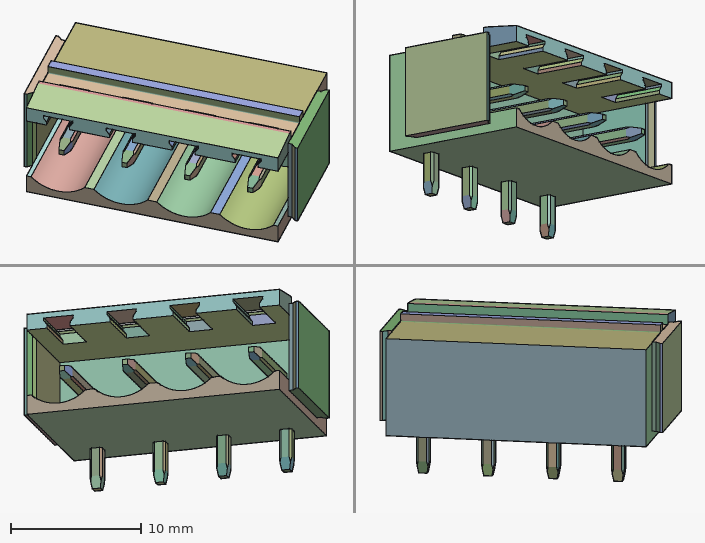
import cadquery as cq
import math

pin_count = 4
pitch = 5.08
housing_width = pin_count * pitch
housing_depth = 12.0
housing_height = 7.65

pin_width = 1.0
pin_round_diameter = 1.2
pin_axis_z = 3.75
blade_tip_y = 0.88
blade_taper_length = 1.21
blade_tip_width = 0.42
leg_axis_y = 9.91
leg_end_z = -3.22
leg_taper_length = 0.95
leg_tip_width = 0.65

cavity_depth = 8.4
cavity_floor_z = 1.52
cavity_roof_z = 6.8
trough_bottom_z = 0.66
trough_radius = 3.15
trough_axis_z = trough_bottom_z + trough_radius

lip_back_y = 3.11
lip_flat_length = 0.33
lip_top_z = 8.41
lip_front_z = 8.08

slot_depth = 4.15
slot_top_width = 2.36
slot_bottom_width = 1.85
slot_upper_z = 7.45
slot_lower_z = 7.09

rib_front_y = 5.25
rib_width = 0.8
rib_top_z = 8.25
rib_foot_radius = 0.07

overall_width = 22.08
plate_overhang = (overall_width - housing_width) / 2
plate_rim = 0.22
plate_chamfer = 0.35
plate_front_y = 2.12
plate_length = 7.75
plate_bottom_z = 0.68
plate_top_z = 7.7

pin_positions = [(i - (pin_count - 1) / 2) * pitch for i in range(pin_count)]


def extrude_along_x(outline, width):
    """Extrude a closed list of (y, z) points, centred on X = 0."""
    return cq.Workplane("YZ").polyline(outline).close().extrude(width / 2, both=True)


def block(width, y_min, y_max, z_min, z_max):
    """Box centred on X = 0 between the given Y and Z limits."""
    size = (width, y_max - y_min, z_max - z_min)
    return cq.Workplane("XY").box(*size, centered=(True, False, False)).translate((0, y_min, z_min))


def front_lip():
    return extrude_along_x(
        [
            (0, cavity_roof_z),
            (0, lip_front_z),
            (lip_back_y - lip_flat_length, lip_top_z),
            (lip_back_y, lip_top_z),
            (lip_back_y, cavity_roof_z),
        ],
        housing_width,
    )


def roof_rib():
    """Rib whose foot flares out through a concave arc on each side."""
    back_y = rib_front_y + rib_width
    foot_z = housing_height
    arc_top_z = foot_z + rib_foot_radius
    return (
        cq.Workplane("YZ")
        .moveTo(rib_front_y - rib_foot_radius, foot_z)
        .radiusArc((rib_front_y, arc_top_z), -rib_foot_radius)
        .lineTo(rib_front_y, rib_top_z)
        .lineTo(back_y, rib_top_z)
        .lineTo(back_y, arc_top_z)
        .radiusArc((back_y + rib_foot_radius, foot_z), -rib_foot_radius)
        .lineTo(back_y + rib_foot_radius, foot_z - rib_foot_radius)
        .lineTo(rib_front_y - rib_foot_radius, foot_z - rib_foot_radius)
        .close()
        .extrude(housing_width / 2, both=True)
    )


def trough(x):
    """Round trough in the cavity floor."""
    cylinder = cq.Workplane("XZ").center(x, trough_axis_z).circle(trough_radius).extrude(-cavity_depth)
    return cylinder.intersect(block(housing_width, 0, cavity_depth, 0, trough_axis_z))


def coding_slot(x):
    top = slot_top_width / 2
    bottom = slot_bottom_width / 2
    outline = [
        (-bottom, cavity_roof_z),
        (-bottom, slot_lower_z),
        (-top, slot_upper_z),
        (-top, housing_height),
        (top, housing_height),
        (top, slot_upper_z),
        (bottom, slot_lower_z),
        (bottom, cavity_roof_z),
    ]
    return cq.Workplane("XZ").polyline(outline).close().extrude(-slot_depth).translate((x, 0, 0))


def end_plate():
    """Dovetail plate on the +X end: a narrow neck that widens to the outer face."""
    inner_x = housing_width / 2
    outer_x = inner_x + plate_overhang
    rim_x = outer_x - plate_rim
    neck_x = rim_x - plate_chamfer
    back_y = plate_front_y + plate_length
    outline = [
        (inner_x, plate_front_y + plate_chamfer),
        (neck_x, plate_front_y + plate_chamfer),
        (rim_x, plate_front_y),
        (outer_x, plate_front_y),
        (outer_x, back_y),
        (rim_x, back_y),
        (neck_x, back_y - plate_chamfer),
        (inner_x, back_y - plate_chamfer),
    ]
    height = plate_top_z - plate_bottom_z
    return cq.Workplane("XY").workplane(offset=plate_bottom_z).polyline(outline).close().extrude(height)


def tapered_bar(length, taper_length, tip_width):
    """Bar along +Z from the origin, with its long edges rounded and a pyramid-shaped far end."""
    round_bar = cq.Workplane("XY").circle(pin_round_diameter / 2).extrude(length)
    taper_angle = math.degrees(math.atan((pin_width - tip_width) / 2 / taper_length))
    straight_length = length - taper_length
    square_bar = (
        cq.Workplane("XY")
        .rect(pin_width, pin_width)
        .extrude(straight_length)
        .faces(">Z")
        .workplane()
        .rect(pin_width, pin_width)
        .extrude(taper_length, taper=taper_angle)
    )
    return round_bar.intersect(square_bar)


def build_pin(x):
    """Blade pointing to the front, joined to a leg pointing down."""
    leg_top_z = pin_axis_z + pin_width / 2
    blade = tapered_bar(leg_axis_y - blade_tip_y, blade_taper_length, blade_tip_width)
    blade = blade.rotate((0, 0, 0), (1, 0, 0), 90).translate((x, leg_axis_y, pin_axis_z))
    leg = tapered_bar(leg_top_z - leg_end_z, leg_taper_length, leg_tip_width)
    leg = leg.rotate((0, 0, 0), (1, 0, 0), 180).translate((x, leg_axis_y, leg_top_z))
    return blade.union(leg)


def build_housing(pins):
    """Housing with its cavity, and a matching hole for each pin."""
    body = block(housing_width, 0, housing_depth, 0, housing_height)
    body = body.cut(block(housing_width, 0, cavity_depth, cavity_floor_z, cavity_roof_z))
    body = body.union(front_lip()).union(roof_rib())
    for x in pin_positions:
        body = body.cut(trough(x)).cut(coding_slot(x))
    plate = end_plate()
    body = body.union(plate).union(plate.mirror("YZ"))
    for pin in pins:
        body = body.cut(pin)
    return body


pins = [build_pin(x) for x in pin_positions]
housing = build_housing(pins)

result = cq.Compound.makeCompound([housing.val(), *[pin.val() for pin in pins]])